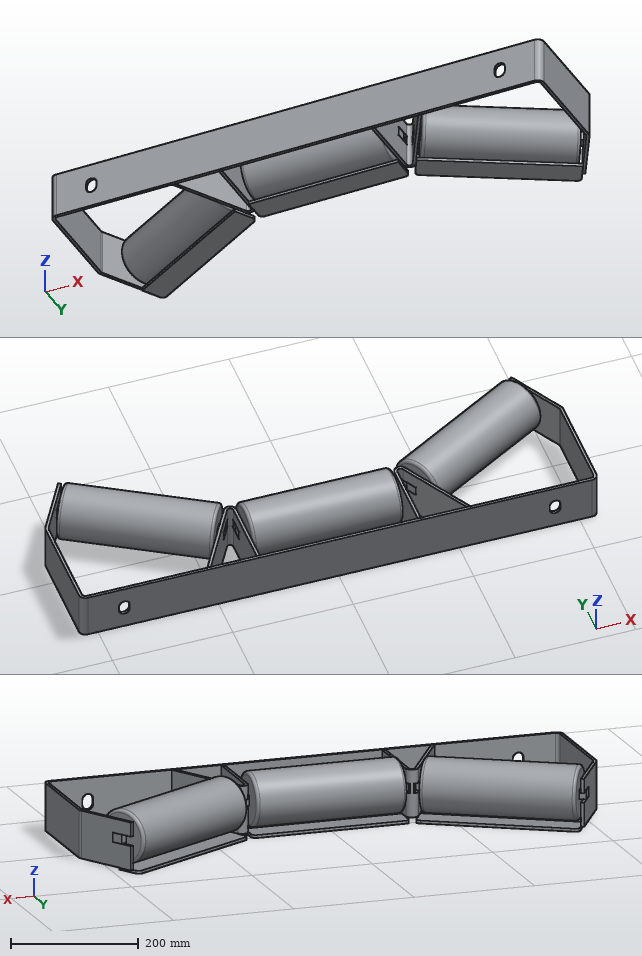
import cadquery as cq
import math


frame_length = 860.0
strip_thickness = 5.0
strip_height = 78.0
bend_radius = 11.0
bracket_bend_radius = 10.0
trough_angle = 30.0
side_height = 174.0
arm_length = 107.0

mount_slot_width = 18.0
mount_slot_height = 26.0
mount_slot_spacing = 715.5

bracket_gap = 262.0
roller_radius = 45.0
roller_edge_fillet = 5.0
roller_end_gap = 6.0
axis_height = 47.0
middle_axis_y = 100.0
wing_axis_along_arm = 78.0
shaft_width = 18.0
shaft_height = 15.5

plate_thickness = 5.0
plate_depth = 41.0
plate_corner_radius = 8.0

half_length = frame_length / 2
sin_trough = math.sin(math.radians(trough_angle))
cos_trough = math.cos(math.radians(trough_angle))
bracket_face_x = bracket_gap / 2
shaft_length = bracket_gap + 2 * strip_thickness


def arm_point(along, across):
    """Plan point measured from the left arm's sharp corner, along the arm and across to the inside."""
    x = -half_length + along * sin_trough + across * cos_trough
    y = side_height + along * cos_trough - across * sin_trough
    return (x, y)


wing_x, wing_y = arm_point(wing_axis_along_arm, strip_thickness + bracket_gap / 2)
stations = [
    ((wing_x, wing_y), -trough_angle),
    ((0, middle_axis_y), 0),
    ((-wing_x, wing_y), trough_angle),
]


def place(body, station):
    """Move a body from the local origin to a roller station."""
    (x, y), turn = station
    return body.rotate((0, 0, 0), (0, 0, 1), turn).translate((x, y, 0))


def make_shaft():
    """Rectangular shaft that ends flush with the outsides of the two walls."""
    return cq.Workplane().box(shaft_length, shaft_width, shaft_height).translate((0, 0, axis_height))


def make_roller():
    """Roller with rounded ends, in one piece with its shaft."""
    half_drum = bracket_gap / 2 - roller_end_gap
    drum = (
        cq.Workplane("XZ")
        .moveTo(-half_drum, 0)
        .lineTo(-half_drum, roller_radius)
        .lineTo(half_drum, roller_radius)
        .lineTo(half_drum, 0)
        .close()
        .revolve(360, (0, 0), (1, 0))
        .edges("%CIRCLE")
        .fillet(roller_edge_fillet)
        .translate((0, 0, axis_height))
    )
    return drum.union(make_shaft())


def make_shaft_slots():
    """Cutter for the slots of one roller: fits under the shaft and opens towards +Y."""
    slot_depth = shaft_width / 2 + roller_radius
    return (
        cq.Workplane()
        .box(shaft_length, slot_depth, shaft_height, centered=(True, False, True))
        .translate((0, -shaft_width / 2, axis_height))
    )


def bent_corner(wall, point, radius):
    """Round the vertical edge that stands on a plan point."""
    x, y = point
    return wall.edges(cq.selectors.NearestToPointSelector((x, y, strip_height / 2))).fillet(radius)


def cut_shaft_slots(wall):
    """Cut the slots of every roller out of a strip."""
    for station in stations:
        wall = wall.cut(place(make_shaft_slots(), station))
    return wall


def make_frame():
    """Strip bent into a front wall, two side walls and two slanted arms."""
    corner_shift = strip_thickness * math.tan(math.radians(trough_angle / 2))
    inside_x = -half_length + strip_thickness
    inner_radius = bend_radius - strip_thickness
    outer_corner = (-half_length, side_height)
    inner_corner = (inside_x, side_height - corner_shift)
    front_corner = (-half_length, 0)
    inner_front_corner = (inside_x, strip_thickness)
    left_path = [
        front_corner,
        outer_corner,
        arm_point(arm_length, 0),
        arm_point(arm_length, strip_thickness),
        inner_corner,
        inner_front_corner,
    ]
    right_path = [(-x, y) for x, y in reversed(left_path)]
    frame = cq.Workplane("XY").polyline(left_path + right_path).close().extrude(strip_height)

    outer_bends = [(front_corner, bend_radius), (inner_front_corner, inner_radius)]
    arm_bends = [(outer_corner, bend_radius), (inner_corner, inner_radius)]
    for (x, y), radius in outer_bends + arm_bends:
        for side in (1, -1):
            frame = bent_corner(frame, (side * x, y), radius)

    mount_slots = (
        cq.Workplane("XZ", origin=(0, strip_thickness, strip_height / 2))
        .pushPoints([(-mount_slot_spacing / 2, 0), (mount_slot_spacing / 2, 0)])
        .slot2D(mount_slot_height, mount_slot_width, 90)
        .extrude(strip_thickness)
    )
    return cut_shaft_slots(frame.cut(mount_slots))


def wing_wall_x(across, y):
    """X at a given Y on the plan line parallel to the left arm, offset across to the inside."""
    start_x, start_y = arm_point(0, across)
    return start_x + (y - start_y) * sin_trough / cos_trough


def wing_wall_y(across, x):
    """Y at a given X on the same plan line."""
    start_x, start_y = arm_point(0, across)
    return start_y + (x - start_x) * cos_trough / sin_trough


def make_left_bracket():
    """Strip folded to an inverted V: one leg square to the frame, one parallel to the left arm."""
    outer_across = strip_thickness + bracket_gap
    inner_across = outer_across + strip_thickness
    outer_x = -bracket_face_x
    inner_x = outer_x - strip_thickness
    outer_apex = (outer_x, wing_wall_y(outer_across, outer_x))
    inner_apex = (inner_x, wing_wall_y(inner_across, inner_x))
    outline = [
        (wing_wall_x(outer_across, strip_thickness), strip_thickness),
        outer_apex,
        (outer_x, strip_thickness),
        (inner_x, strip_thickness),
        inner_apex,
        (wing_wall_x(inner_across, strip_thickness), strip_thickness),
    ]
    bracket = cq.Workplane("XY").polyline(outline).close().extrude(strip_height)
    bracket = bent_corner(bracket, inner_apex, bracket_bend_radius - strip_thickness)
    bracket = bent_corner(bracket, outer_apex, bracket_bend_radius)
    return cut_shaft_slots(bracket)


def make_plate():
    """Flat cover plate just below the frame, from under the roller axis to its far side."""
    return (
        cq.Workplane("XY")
        .box(bracket_gap, plate_depth, plate_thickness, centered=(True, False, False))
        .translate((0, 0, -plate_thickness))
        .edges("|Z and >Y")
        .fillet(plate_corner_radius)
    )


frame = make_frame()
left_bracket = make_left_bracket()
brackets = [left_bracket, left_bracket.mirror("YZ")]
rollers = [place(make_roller(), station) for station in stations]
plates = [place(make_plate(), station) for station in stations]

bodies = [frame, *brackets, *rollers, *plates]
result = cq.Compound.makeCompound([body.val() for body in bodies])